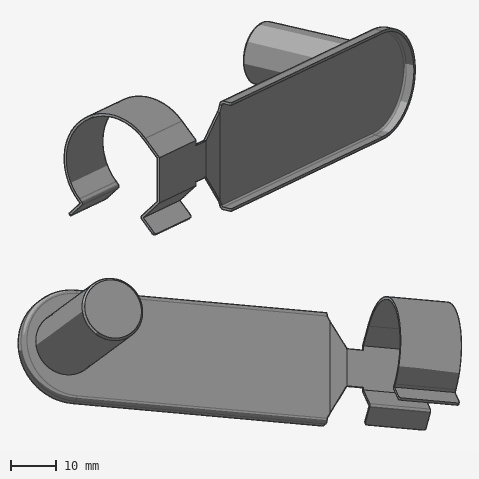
import cadquery as cq
import math

sheet = 0.6

plate_radius = 12.5
plate_depth = 3.0
rim_bend_radius = 1.0
rim_end_y = -57.7
rim_corner_radius = 0.4

pin_diameter = 14.0
pin_length = 31.0
pin_chamfer = 0.5
pin_center_y = 2.5

overall_length = 92.0
clip_width = 14.0
clip_end_y = plate_radius - overall_length
clip_start_y = clip_end_y + clip_width
clip_radius = 12.3
clip_center_x = -13.4
clip_center_z = 0.2
lip_bend_height = -9.5
lip_length = 4.8
lip_bend_radius = 0.55
lip_corner_radius = 0.55

neck_step = 1.4
neck_bend_start_y = -58.3
neck_bend_end_y = -61.7
neck_half_width = 4.19
taper_half_width = plate_radius - rim_bend_radius

ROOT2 = math.sqrt(2)


def plate_blank(radius, front_x, bend_radius):
    """Round-ended block with a rounded front edge, cut square at the rim end."""
    straight = abs(rim_end_y)
    length = straight + radius
    block = (
        cq.Workplane("YZ")
        .workplane(offset=front_x)
        .moveTo(-length, -radius)
        .lineTo(0, -radius)
        .threePointArc((radius, 0), (0, radius))
        .lineTo(-length, radius)
        .close()
        .extrude(plate_depth - front_x)
        .faces("<X")
        .edges("not(<Y)")
        .fillet(bend_radius)
    )
    surplus = cq.Workplane("XY").box(
        2 * plate_depth, radius, 2 * radius, centered=(True, False, True)
    )
    return block.cut(surplus.translate((front_x, -length, 0)))


def make_plate():
    outside = plate_blank(plate_radius, 0, rim_bend_radius)
    inside = plate_blank(plate_radius - sheet, sheet, rim_bend_radius - sheet)
    plate = outside.cut(inside)
    rim_corners = cq.selectors.BoxSelector(
        (plate_depth - sheet / 2, rim_end_y - sheet / 2, -plate_radius),
        (plate_depth + sheet / 2, rim_end_y + sheet / 2, plate_radius),
    )
    return plate.edges("|Z").edges(rim_corners).fillet(rim_corner_radius)


def make_pin():
    return (
        cq.Workplane("YZ")
        .center(pin_center_y, 0)
        .circle(pin_diameter / 2)
        .extrude(-pin_length)
        .faces("<X")
        .chamfer(pin_chamfer)
    )


def make_neck():
    """Stepped strip, trimmed to the taper and the narrow neck."""
    strip = (
        cq.Workplane("XY")
        .workplane(offset=-plate_radius)
        .polyline([
            (0, rim_end_y),
            (0, neck_bend_start_y),
            (-neck_step, neck_bend_end_y),
            (-neck_step, clip_start_y),
            (sheet - neck_step, clip_start_y),
            (sheet - neck_step, neck_bend_end_y),
            (sheet, neck_bend_start_y),
            (sheet, rim_end_y),
        ])
        .close()
        .extrude(2 * plate_radius)
    )
    silhouette = (
        cq.Workplane("YZ")
        .polyline([
            (rim_end_y, taper_half_width),
            (neck_bend_end_y, neck_half_width),
            (clip_start_y, neck_half_width),
            (clip_start_y, -neck_half_width),
            (neck_bend_end_y, -neck_half_width),
            (rim_end_y, -taper_half_width),
        ])
        .close()
        .extrude(plate_depth, both=True)
    )
    return strip.intersect(silhouette)


def clip_side(offset):
    """Corner points of one sheet surface, relative to the clip center.

    The two diagonals beside the flat back and the one above the left lip
    are 45 degree tangents of the round band.
    """
    radius = clip_radius + offset
    tangent = radius / ROOT2
    back_x = sheet / 2 - neck_step - clip_center_x + offset
    back_z = radius * ROOT2 - back_x
    bend_x = clip_radius * ROOT2 + lip_bend_height + offset * ROOT2
    tip_x = clip_radius * ROOT2 + lip_bend_height + (lip_length + offset) / ROOT2
    tip_z = lip_bend_height + (offset - lip_length) / ROOT2
    return tangent, (back_x, back_z), (bend_x, lip_bend_height), (tip_x, tip_z)


def make_clip():
    tangent, back, bend, tip = clip_side(sheet / 2)
    in_tangent, in_back, in_bend, in_tip = clip_side(-sheet / 2)
    clip = (
        cq.Workplane("XZ", origin=(clip_center_x, clip_start_y, clip_center_z))
        .moveTo(*tip)
        .lineTo(*bend)
        .lineTo(back[0], -back[1])
        .lineTo(*back)
        .lineTo(tangent, tangent)
        .threePointArc((-tangent, tangent), (-tangent, -tangent))
        .lineTo(-bend[0], bend[1])
        .lineTo(-tip[0], tip[1])
        .lineTo(-in_tip[0], in_tip[1])
        .lineTo(-in_bend[0], in_bend[1])
        .lineTo(-in_tangent, -in_tangent)
        .threePointArc((-in_tangent, in_tangent), (in_tangent, in_tangent))
        .lineTo(*in_back)
        .lineTo(in_back[0], -in_back[1])
        .lineTo(*in_bend)
        .lineTo(*in_tip)
        .close()
        .extrude(clip_width)
    )
    for side in (-1, 1):
        bend_edge = cq.selectors.NearestToPointSelector((
            clip_center_x + side * in_bend[0],
            clip_start_y - clip_width / 2,
            clip_center_z + lip_bend_height,
        ))
        clip = clip.edges("|Y").edges(bend_edge).fillet(lip_bend_radius)
    for side in (-1, 1):
        for end_y in (clip_start_y, clip_end_y):
            tip_corner = cq.selectors.NearestToPointSelector((
                clip_center_x + side * (tip[0] + in_tip[0]) / 2,
                end_y,
                clip_center_z + (tip[1] + in_tip[1]) / 2,
            ))
            clip = clip.edges(tip_corner).fillet(lip_corner_radius)
    return clip


result = make_plate().union(make_pin()).union(make_neck()).union(make_clip())